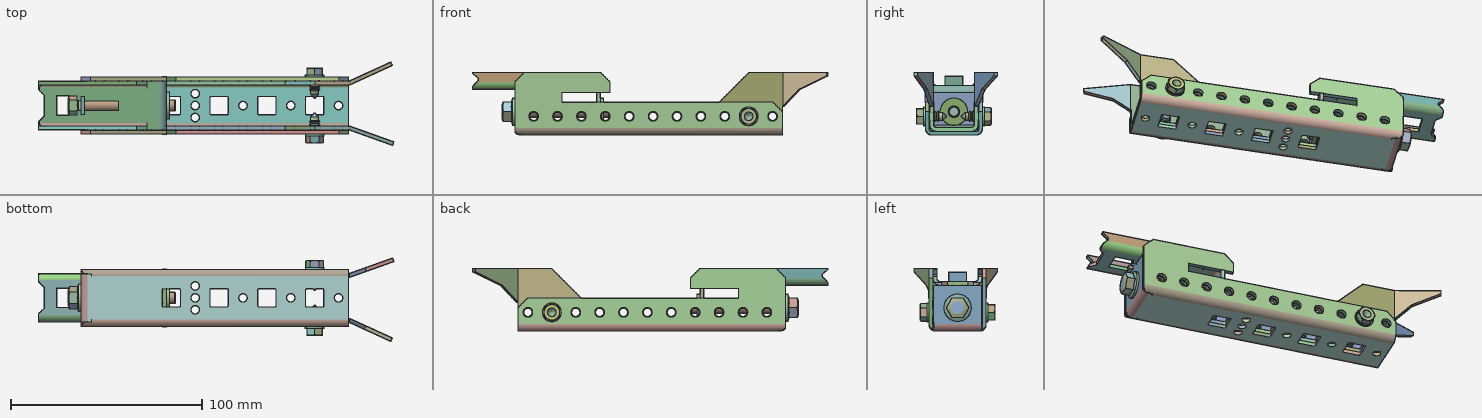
import cadquery as cq
import math

SHEET = 2.0
BEND_INNER = 1.5
BEND_OUTER = BEND_INNER + SHEET
TOP_Z = 33.0
OVERALL_LENGTH = 186
GAP = 0.2

CHANNEL_START = 22.1
CHANNEL_LENGTH = 140.0
CHANNEL_END = CHANNEL_START + CHANNEL_LENGTH
CHANNEL_WIDTH = 30.0
RAIL_Z = 17.3
BASE_CORNER_CUT = 1.7
CORNER_CUT = 5.0
HOOK_END = 72.0
SLOT_START = 46.9
SLOT_TOP = 22.3

PITCH = 12.5
LAST_HOLE_X = 157.0
SIDE_HOLE_COUNT = 11
SIDE_HOLE_Z = 9.9
HOLE_DIAMETER = 4.3
OUTER_HOLE_DIAMETER = 5.0
FLOOR_HOLE_COUNT = 4
SQUARE_SIZE = 9.5
SQUARE_CORNER = 0.5
TRIPLE_SPACING = PITCH / 2
SCREW_X = LAST_HOLE_X - PITCH

INNER_START = CHANNEL_START + BEND_OUTER
SIDE_PLAY = 0.2
INNER_WIDTH = CHANNEL_WIDTH - 2 * (SHEET + SIDE_PLAY)
WING_TOP_START = 144.7
FOLD_X = CHANNEL_END + 0.5
TAIL_TIP_HEIGHT = 1.9
TAIL_KNEE = 9.3
TAIL_KNEE_Z = 24.0
TAIL_ROOT_Z = 14.9
TAIL_ANGLE_FRONT = 19.6
TAIL_ANGLE_BACK = 24.6
TAIL_LENGTH = (OVERALL_LENGTH - FOLD_X) / math.cos(math.radians(TAIL_ANGLE_FRONT))

TRAY_BOTTOM = 24.0
TRAY_FLOOR_Z = TRAY_BOTTOM + SHEET
TRAY_END = 67.0
TRAY_WALL_END = 56.7
TRAY_WALL_CUT = 5.5
TRAY_BEND_OUTER = 3.9
WINDOW_START = 9.7
WINDOW_END = 20.0
WINDOW_WIDTH = 10.0
KEY_SLOT_END = 41.8
KEY_SLOT_WIDTH = 5.0
NOTCH_DEPTH = 3.0
FLOOR_NOTCH_HALF = 8.4
WALL_NOTCH_TOP = 32.4
WALL_NOTCH_BOTTOM = 25.5
WALL_NOTCH_MIDDLE = 29.2
WALL_NOTCH_FLAT = 1.1
PLATE_BOTTOM = 5.2
PLATE_LOWER_WIDTH = INNER_WIDTH - 2 * SHEET - 2 * GAP
EAR_WIDTH = CHANNEL_WIDTH + 0.4

TAB_WIDTH = 9.5
TAB_TOP = 30.9
TAB_NECK_WIDTH = KEY_SLOT_WIDTH - 2 * GAP

BOLT_Z = 12.3
BOLT_DIAMETER = 6.0
BOLT_HEAD_X = 15.5
BOLT_END = 71.8
BOLT_TIP_CHAMFER = 0.5
BOLT_FLATS = 10.2
BOLT_FACE_DIAMETER = 6.7
BOLT_HEAD_CONE = 0.7
FLANGE_DIAMETER = 14.3
FLANGE_EDGE = 1.1
FLANGE_HEIGHT = 1.9
NUT_THICKNESS = 1.7

SCREW_FLATS = 8.2
SCREW_FLANGE_DIAMETER = 9.9
SCREW_FLANGE_HEIGHT = 1.0
SCREW_HEAD_HEIGHT = 4.6
SCREW_LENGTH = 11.2
SCREW_TIP_LENGTH = 2.2
SCREW_TIP_RADIUS = 0.2
SCREW_HEAD_CONE = 0.5
DIMPLE_DIAMETER = 4.5
DIMPLE_DEPTH = 1.5
THREAD_RADIUS = 2.8
THREAD_PITCH = 1.7
THREAD_COUNT = 2


def box(x0, x1, width, z0, z1):
    """Block between two X and two Z positions, centred on Y = 0."""
    return cq.Workplane("XY").box(x1 - x0, width, z1 - z0, centered=(False, True, False)).translate((x0, 0, z0))


def side_profile(points, width):
    """Outline in the XZ plane, extruded symmetrically to both sides of Y = 0."""
    return cq.Workplane("XZ").polyline(points).close().extrude(width / 2, both=True)


def u_blank(x0, x1, width, z0, z1):
    """Straight U-shaped sheet with rounded bends, open at the top."""
    outside = box(x0, x1, width, z0, z1).edges("|X and <Z").fillet(BEND_OUTER)
    inside = box(x0, x1, width - 2 * SHEET, z0 + SHEET, z1).edges("|X and <Z").fillet(BEND_INNER)
    return outside.cut(inside)


def side_holes(diameter):
    """Row of round holes through both side walls."""
    centres = [(LAST_HOLE_X - i * PITCH, SIDE_HOLE_Z) for i in range(SIDE_HOLE_COUNT)]
    row = cq.Workplane("XZ").pushPoints(centres).circle(diameter / 2)
    return row.extrude(CHANNEL_WIDTH, both=True)


def floor_holes():
    """Alternating round and square holes, with a pair of holes beside the first round one."""
    rounds = [(LAST_HOLE_X - 2 * i * PITCH, 0) for i in range(FLOOR_HOLE_COUNT)]
    squares = [(x - PITCH, 0) for x, _ in rounds]
    first_x = rounds[-1][0]
    rounds += [(first_x, TRIPLE_SPACING), (first_x, -TRIPLE_SPACING)]
    depth = 2 * BEND_OUTER
    tools = cq.Workplane("XY").pushPoints(rounds).circle(HOLE_DIAMETER / 2).extrude(depth)
    windows = cq.Workplane("XY").pushPoints(squares).rect(SQUARE_SIZE, SQUARE_SIZE).extrude(depth)
    return tools.union(windows.edges("|Z").fillet(SQUARE_CORNER))


def shaft_hole():
    return cq.Workplane("YZ").center(0, BOLT_Z).circle(BOLT_DIAMETER / 2).extrude(CHANNEL_END)


def front_plate():
    """Front plate bent up from the floor, with a T-shaped tab that hooks over the tray."""
    start, length = CHANNEL_START, BEND_OUTER + SHEET
    width = INNER_WIDTH - 2 * GAP
    plate = box(start, start + length, width, 0, TRAY_BOTTOM).edges("|Y and <X and <Z").fillet(BEND_OUTER)
    inside = box(start + SHEET, start + 2 * length, width, SHEET, TRAY_BOTTOM)
    plate = plate.cut(inside.edges("|Y and <X and <Z").fillet(BEND_INNER))
    neck = box(start, start + SHEET, TAB_NECK_WIDTH, TRAY_BOTTOM, TAB_TOP)
    head = box(start, start + SHEET, TAB_WIDTH, TRAY_FLOOR_Z, TAB_TOP)
    return plate.union(neck).union(head)


def make_outer_channel():
    blank = u_blank(CHANNEL_START, CHANNEL_END, CHANNEL_WIDTH, 0, TOP_Z)
    outline = side_profile(
        [
            (CHANNEL_START + BASE_CORNER_CUT, 0),
            (CHANNEL_END, 0),
            (CHANNEL_END, RAIL_Z - CORNER_CUT),
            (CHANNEL_END - CORNER_CUT, RAIL_Z),
            (SLOT_START, RAIL_Z),
            (SLOT_START, SLOT_TOP),
            (HOOK_END, SLOT_TOP),
            (HOOK_END, TOP_Z - CORNER_CUT),
            (HOOK_END - CORNER_CUT, TOP_Z),
            (CHANNEL_START + CORNER_CUT, TOP_Z),
            (CHANNEL_START, TOP_Z - CORNER_CUT),
            (CHANNEL_START, BASE_CORNER_CUT),
        ],
        CHANNEL_WIDTH,
    )
    walls = blank.intersect(outline)
    walls = walls.cut(box(CHANNEL_START, INNER_START, INNER_WIDTH, 0, TOP_Z))
    channel = walls.union(front_plate())
    return channel.cut(side_holes(OUTER_HOLE_DIAMETER)).cut(floor_holes()).cut(shaft_hole())


def wing_tail(side, angle):
    """Flared tail of one wing; side is +1 for +Y and -1 for -Y."""
    tail = (
        cq.Workplane("XZ")
        .polyline(
            [
                (0, TAIL_ROOT_Z),
                (TAIL_KNEE, TAIL_KNEE_Z),
                (TAIL_LENGTH, TOP_Z - TAIL_TIP_HEIGHT),
                (TAIL_LENGTH, TOP_Z),
                (0, TOP_Z),
            ]
        )
        .close()
        .extrude(-side * SHEET)
    )
    inner_y = side * (INNER_WIDTH / 2 - SHEET)
    return tail.rotate((0, 0, 0), (0, 0, 1), side * angle).translate((FOLD_X, inner_y, 0))


def make_inner_channel():
    blank = u_blank(INNER_START, FOLD_X, INNER_WIDTH, SHEET, TOP_Z)
    outline = side_profile(
        [
            (INNER_START, 0),
            (CHANNEL_END, 0),
            (CHANNEL_END, TAIL_ROOT_Z),
            (FOLD_X, TAIL_ROOT_Z),
            (FOLD_X, TOP_Z),
            (WING_TOP_START, TOP_Z),
            (WING_TOP_START - (TOP_Z - RAIL_Z), RAIL_Z),
            (INNER_START, RAIL_Z),
        ],
        INNER_WIDTH,
    )
    channel = blank.intersect(outline)
    channel = channel.union(wing_tail(1, TAIL_ANGLE_BACK)).union(wing_tail(-1, TAIL_ANGLE_FRONT))
    return channel.cut(side_holes(HOLE_DIAMETER)).cut(floor_holes())


def tray_end_plate():
    """Plate bent down from the tray end; its ears ride in the wall slots."""
    start = TRAY_END - SHEET
    bend_start = TRAY_END - 2 * TRAY_BEND_OUTER
    bend = box(bend_start, TRAY_END, INNER_WIDTH, SLOT_TOP - SHEET, TRAY_FLOOR_Z)
    bend = bend.edges("|Y and >X and >Z").fillet(TRAY_BEND_OUTER)
    inside = box(bend_start - SHEET, start, INNER_WIDTH, SLOT_TOP - SHEET, TRAY_BOTTOM)
    bend = bend.cut(inside.edges("|Y and >X and >Z").fillet(TRAY_BEND_OUTER - SHEET))
    ears = box(start, TRAY_END, EAR_WIDTH, RAIL_Z, SLOT_TOP)
    lower = box(start, TRAY_END, PLATE_LOWER_WIDTH, PLATE_BOTTOM, RAIL_Z)
    return bend.union(ears).union(lower).cut(shaft_hole())


def make_tray():
    bend_start = TRAY_END - TRAY_BEND_OUTER
    tray = u_blank(0, TRAY_WALL_END, INNER_WIDTH, TRAY_BOTTOM, TOP_Z)
    tray = tray.cut(
        side_profile(
            [
                (TRAY_WALL_END - TRAY_WALL_CUT, TOP_Z),
                (TRAY_WALL_END, TOP_Z),
                (TRAY_WALL_END, TOP_Z - TRAY_WALL_CUT),
            ],
            INNER_WIDTH,
        )
    )
    tray = tray.union(box(TRAY_WALL_END, bend_start, INNER_WIDTH, TRAY_BOTTOM, TRAY_FLOOR_Z))
    tray = tray.union(tray_end_plate())

    tray = tray.cut(box(WINDOW_START, WINDOW_END, WINDOW_WIDTH, TRAY_BOTTOM, TRAY_FLOOR_Z))
    tray = tray.cut(box(WINDOW_END, KEY_SLOT_END, KEY_SLOT_WIDTH, TRAY_BOTTOM, TRAY_FLOOR_Z))

    inner_half = FLOOR_NOTCH_HALF - NOTCH_DEPTH
    floor_notch = (
        cq.Workplane("XY")
        .polyline(
            [
                (0, -FLOOR_NOTCH_HALF),
                (NOTCH_DEPTH, -inner_half),
                (NOTCH_DEPTH, inner_half),
                (0, FLOOR_NOTCH_HALF),
            ]
        )
        .close()
        .extrude(TRAY_FLOOR_Z)
    )
    wall_notch = side_profile(
        [
            (0, WALL_NOTCH_BOTTOM),
            (NOTCH_DEPTH, WALL_NOTCH_MIDDLE - WALL_NOTCH_FLAT / 2),
            (NOTCH_DEPTH, WALL_NOTCH_MIDDLE + WALL_NOTCH_FLAT / 2),
            (0, WALL_NOTCH_TOP),
        ],
        INNER_WIDTH,
    )
    return tray.cut(floor_notch).cut(wall_notch)


def hex_across_corners(flats):
    return flats / math.cos(math.radians(30))


def revolve_about_z(points):
    """Solid of revolution about Z from (radius, height) points."""
    return cq.Workplane("XZ").polyline(points).close().revolve(360, (0, 0, 0), (0, 1, 0))


def hex_head(flats, height, face_diameter, cone_height):
    """Hexagonal head standing on Z = 0, its top edge coned down to a round face."""
    radius = hex_across_corners(flats) / 2
    envelope = revolve_about_z(
        [(0, 0), (radius, 0), (radius, height - cone_height), (face_diameter / 2, height), (0, height)]
    )
    return cq.Workplane("XY").polygon(6, 2 * radius).extrude(height).intersect(envelope)


def make_bolt():
    """Hex flange bolt along +X, its flange seated on the front plate."""
    head = hex_head(BOLT_FLATS, CHANNEL_START - BOLT_HEAD_X, BOLT_FACE_DIAMETER, BOLT_HEAD_CONE)
    flange = revolve_about_z(
        [
            (0, 0),
            (FLANGE_DIAMETER / 2, 0),
            (FLANGE_DIAMETER / 2, FLANGE_EDGE),
            (BOLT_FLATS / 2, FLANGE_HEIGHT),
            (0, FLANGE_HEIGHT),
        ]
    )
    shaft = cq.Workplane("XY").circle(BOLT_DIAMETER / 2).extrude(CHANNEL_START - BOLT_END)
    shaft = shaft.faces("<Z").chamfer(BOLT_TIP_CHAMFER)
    bolt = head.union(flange).union(shaft).rotate((0, 0, 0), (0, 0, 1), 90)
    return bolt.rotate((0, 0, 0), (0, 1, 0), -90).translate((CHANNEL_START, 0, BOLT_Z))


def make_nut():
    """Round flange nut against the tray end plate."""
    ring = cq.Workplane("YZ").circle(FLANGE_DIAMETER / 2).circle(BOLT_DIAMETER / 2).extrude(NUT_THICKNESS)
    return ring.translate((TRAY_END, 0, BOLT_Z))


def make_screw(side, hex_turn):
    """Pointed hex flange screw; side is the wall (+1 for +Y, -1 for -Y) its head rests on."""
    radius = HOLE_DIAMETER / 2
    shank = [
        (0, SCREW_FLANGE_HEIGHT),
        (SCREW_FLANGE_DIAMETER / 2, SCREW_FLANGE_HEIGHT),
        (SCREW_FLANGE_DIAMETER / 2, 0),
        (radius, 0),
    ]
    ridge_half = THREAD_RADIUS - radius
    for i in range(THREAD_COUNT):
        centre = -2 * SHEET - ridge_half - GAP - i * THREAD_PITCH
        shank += [(radius, centre + ridge_half), (THREAD_RADIUS, centre), (radius, centre - ridge_half)]
    shank += [
        (radius, SCREW_TIP_LENGTH - SCREW_LENGTH),
        (SCREW_TIP_RADIUS, -SCREW_LENGTH),
        (0, -SCREW_LENGTH),
    ]
    body = revolve_about_z(shank)
    head = hex_head(SCREW_FLATS, SCREW_HEAD_HEIGHT, SCREW_FLATS, SCREW_HEAD_CONE)
    dimple = revolve_about_z(
        [(0, SCREW_HEAD_HEIGHT - DIMPLE_DEPTH), (DIMPLE_DIAMETER / 2, SCREW_HEAD_HEIGHT), (0, SCREW_HEAD_HEIGHT)]
    )
    head = head.cut(dimple)
    screw = body.union(head).rotate((0, 0, 0), (0, 0, 1), hex_turn)
    screw = screw.rotate((0, 0, 0), (1, 0, 0), -90 * side)
    return screw.translate((SCREW_X, side * CHANNEL_WIDTH / 2, SIDE_HOLE_Z))


outer_channel = make_outer_channel()
inner_channel = make_inner_channel()
tray = make_tray()
bolt = make_bolt()
nut = make_nut()
screws = [make_screw(side, hex_turn) for side, hex_turn in ((1, 30), (-1, 0))]

result = cq.Compound.makeCompound(
    [
        outer_channel.val(),
        inner_channel.val(),
        tray.val(),
        bolt.val(),
        nut.val(),
        *[screw.val() for screw in screws],
    ]
)